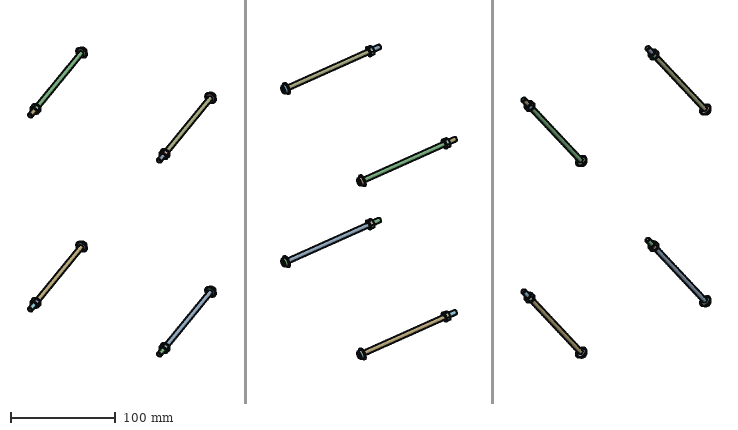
import cadquery as cq
import math

overall_width = 151.0
overall_length = 108.8
overall_height = 256.0

flange_diameter = 11.5
flange_thickness = 1.0
head_diameter = 9.2
head_height = 4.9
head_rim_diameter = 8.2
head_top_diameter = 6.1
head_rim_drop = 1.0
shank_diameter = 4.9
tip_chamfer = 0.5

nut_across_flats = 8.0
nut_height = 4.9
nut_flange_diameter = 9.7
nut_flange_thickness = 0.5
nut_to_tip = 8.5

bolt_spacing_x = overall_width - flange_diameter
bolt_spacing_z = overall_height - flange_diameter
tip_y = -overall_length / 2
head_top_y = overall_length / 2
head_seat_y = head_top_y - head_height
nut_outer_y = tip_y + nut_to_tip
nut_seat_y = nut_outer_y + nut_height


def rod(diameter, start_y, end_y):
    """Cylinder along Y between two Y positions."""
    plane = cq.Plane(origin=(0, start_y, 0), xDir=(1, 0, 0), normal=(0, 1, 0))
    return cq.Workplane(plane).circle(diameter / 2).extrude(end_y - start_y)


def make_head():
    """Button head whose side curves in from the thin flange to a rim, bevelled to a flat top."""
    base_radius = head_diameter / 2
    rim_radius = head_rim_diameter / 2
    rim_y = head_top_y - head_rim_drop
    crown_base_y = head_seat_y + flange_thickness
    side_height = rim_y - crown_base_y
    inset = base_radius - rim_radius
    side_radius = (side_height**2 + inset**2) / (2 * inset)
    half_angle = math.atan2(inset, side_height)
    side_middle = (
        base_radius - side_radius * (1 - math.cos(half_angle)),
        crown_base_y + side_radius * math.sin(half_angle),
    )
    crown = (
        cq.Workplane("XY")
        .moveTo(0, crown_base_y)
        .lineTo(base_radius, crown_base_y)
        .threePointArc(side_middle, (rim_radius, rim_y))
        .lineTo(head_top_diameter / 2, head_top_y)
        .lineTo(0, head_top_y)
        .close()
        .revolve(360, (0, 0, 0), (0, 1, 0))
    )
    flange = rod(flange_diameter, head_seat_y, crown_base_y)
    return crown.union(flange)


def make_shank():
    """Plain round shank with a chamfered tip."""
    return rod(shank_diameter, tip_y, head_seat_y).faces("<Y").chamfer(tip_chamfer)


def make_nut():
    """Hexagon with two flats facing +X and -X, flanged on the side of the head."""
    plane = cq.Plane(origin=(0, nut_outer_y, 0), xDir=(1, 0, 0), normal=(0, 1, 0))
    hexagon = cq.Workplane(plane).polygon(6, nut_across_flats, circumscribed=True).extrude(nut_height)
    flange = rod(nut_flange_diameter, nut_seat_y - nut_flange_thickness, nut_seat_y)
    return hexagon.union(flange)


def make_bolt(x, z):
    """One bolt with its nut, as a single solid on the given axis."""
    return make_shank().union(make_head()).union(make_nut()).translate((x, 0, z))


bolts = []
for x in (-bolt_spacing_x / 2, bolt_spacing_x / 2):
    for z in (-bolt_spacing_z / 2, bolt_spacing_z / 2):
        bolts.append(make_bolt(x, z).val())

result = cq.Compound.makeCompound(bolts)